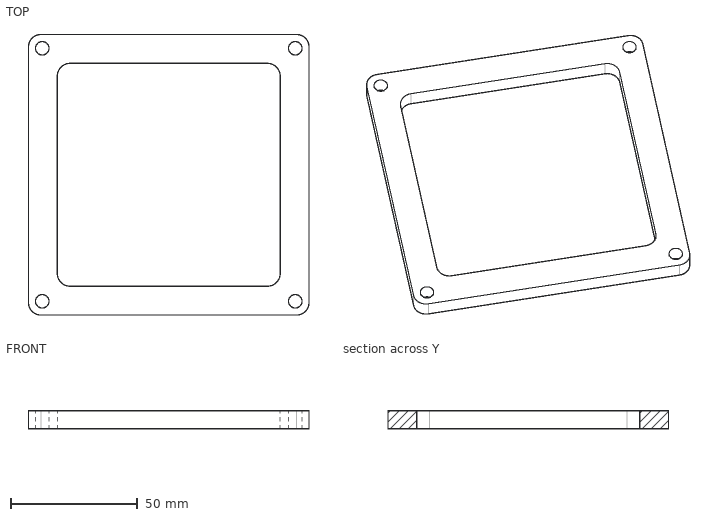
import cadquery as cq

outer_side = 111.0
thickness = 7.25
outer_corner_radius = 5.0
window_side = 88.0
window_corner_radius = 5.0
hole_spacing = 100.0
hole_diameter = 5.25


def rounded_square_plate(side, corner_radius):
    """Square plate centred on Z with rounded vertical edges."""
    return cq.Workplane("XY").box(side, side, thickness).edges("|Z").fillet(corner_radius)


def corner_holes():
    """Four through-hole cylinders, one near each corner of the frame."""
    return (
        cq.Workplane("XY")
        .rect(hole_spacing, hole_spacing, forConstruction=True)
        .vertices()
        .circle(hole_diameter / 2)
        .extrude(thickness / 2, both=True)
    )


frame = rounded_square_plate(outer_side, outer_corner_radius)
window = rounded_square_plate(window_side, window_corner_radius)

result = frame.cut(window).cut(corner_holes())